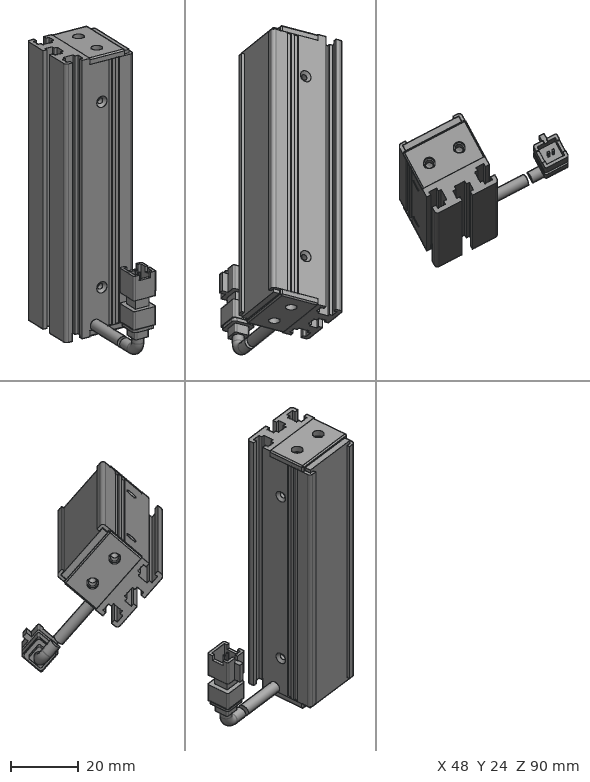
import cadquery as cq
import math


LENGTH = 90.0
WIDTH = 21.0
DEPTH = 24.0
CORNER_RADIUS = 1.1

SLOT_MOUTH = 3.4
SLOT_LIP = 1.35
SLOT_WIDE = 5.5
SLOT_WIDE_END = 3.9
SLOT_DEPTH = 4.9
SIDE_SLOT_Y = 4.1

CAP_SEAT = 2.0
CAP_BACK_Y = 8.6
CAP_FRONT_Y = 21.15

LIP_THICKNESS = 0.9
LIP_WIDTH = 2.5
CHANNEL_WALL = 1.1

SIDE_WALL = 2.7
CAVITY_FLOOR_Y = 12.5

GROOVE_WIDTH = 1.35
GROOVE_DEPTH = 0.5
GROOVE_YS = (15.9, 18.4)

MOUNT_HOLE_Y = 12.8
MOUNT_HOLE_END_DISTANCE = 15.0
MOUNT_HOLE_DIAMETER = 1.8
COUNTERSINK_DIAMETER = 3.6
COUNTERSINK_ANGLE = 90.0

CAP_CHAMFER = 0.45
SCREW_SPACING = 10.0
SCREW_Y = 14.6
CLEARANCE_DIAMETER = 3.4
TAPPED_DIAMETER = 2.5
TAPPED_DEPTH = 4.5
DRILL_TIP_ANGLE = 120.0

DIFFUSER_INSET = 0.9

CABLE_DIAMETER = 3.6
CABLE_Y = 10.5
CABLE_Z = 3.4
BEND_RADIUS = 3.1
BREAK_X = 25.2
BREAK_GAP = 1.3
BREAK_RADIUS = 5.4

OVERALL_X = 48.0
BLOCK_SIZE = 7.8
BLOCK_FILLET = 0.5
STEM_SIZE = 4.9
STEM_FILLET = 0.5
COLLAR_SIZE = 7.4
COLLAR_FILLET = 1.2
STEM_Z = 8.5
COLLAR_Z = 11.4
LOWER_BLOCK_Z = 12.5
NECK_Z = 18.45
UPPER_BLOCK_Z = 22.0
CONNECTOR_TOP_Z = 29.9
SOCKET_SIZE = 5.9
SOCKET_DEPTH = 6.3
NOTCH_WIDTH = 3.9
NOTCH_DEPTH = 1.7
TAB_WIDTH = 1.6
TAB_LENGTH = 2.0
TAB_SLOT_WIDTH = 1.2
PIN_SIZE = 0.6
PIN_SPACING = 1.5
PIN_RECESS = 0.7

HALF_WIDTH = WIDTH / 2
CAVITY_WIDTH = WIDTH - 2 * SIDE_WALL
CHANNEL_WIDTH = WIDTH - 2 * CHANNEL_WALL
CHANNEL_FRONT_Y = DEPTH - LIP_THICKNESS
SCREW_XS = (-SCREW_SPACING / 2, SCREW_SPACING / 2)
CONNECTOR_X = OVERALL_X - HALF_WIDTH - BLOCK_SIZE / 2


def box(x_range, y_range, z_range):
    """Box between the given pairs of X, Y and Z limits."""
    size = [high - low for low, high in (x_range, y_range, z_range)]
    corner = (x_range[0], y_range[0], z_range[0])
    return cq.Workplane("XY").box(*size, centered=False).translate(corner)


def centred_box(width, y_range, z_range):
    """Box that is centred on x = 0."""
    return box((-width / 2, width / 2), y_range, z_range)


def cone_height(base_radius, angle):
    """Height of a full cone with the given included angle."""
    return base_radius / math.tan(math.radians(angle / 2))


def t_slot():
    """Stepped slot that opens at y = 0 and goes into +Y over the whole length."""
    steps = (
        (SLOT_MOUTH, 0, SLOT_DEPTH),
        (SLOT_WIDE, SLOT_LIP, SLOT_WIDE_END),
    )
    slot = cq.Workplane("XY")
    for width, start, end in steps:
        slot = slot.union(centred_box(width, (start, end), (0, LENGTH)))
    return slot


def mount_hole():
    """Countersunk hole from the -X side to the middle plane."""
    rim = COUNTERSINK_DIAMETER / 2
    radius = MOUNT_HOLE_DIAMETER / 2
    half_section = [
        (0, 0),
        (0, rim),
        (cone_height(rim - radius, COUNTERSINK_ANGLE), radius),
        (HALF_WIDTH, radius),
        (HALF_WIDTH, 0),
    ]
    hole = cq.Workplane("XY").polyline(half_section).close().revolve(360, (0, 0, 0), (1, 0, 0))
    return hole.translate((-HALF_WIDTH, MOUNT_HOLE_Y, 0))


def side_cuts():
    """Everything that is cut into the -X side: T-slot, grooves and mounting holes."""
    slot = t_slot().rotate((0, 0, 0), (0, 0, 1), -90)
    cuts = slot.translate((-HALF_WIDTH, SIDE_SLOT_Y, 0))
    for y in GROOVE_YS:
        groove_x = (-HALF_WIDTH, -HALF_WIDTH + GROOVE_DEPTH)
        groove_y = (y - GROOVE_WIDTH / 2, y + GROOVE_WIDTH / 2)
        cuts = cuts.union(box(groove_x, groove_y, (0, LENGTH)))
    for z in (MOUNT_HOLE_END_DISTANCE, LENGTH - MOUNT_HOLE_END_DISTANCE):
        cuts = cuts.union(mount_hole().translate((0, 0, z)))
    return cuts


def make_housing():
    housing = centred_box(WIDTH, (0, DEPTH), (0, LENGTH)).edges("|Z").fillet(CORNER_RADIUS)

    full_length = (0, LENGTH)
    housing = housing.cut(centred_box(CAVITY_WIDTH, (CAVITY_FLOOR_Y, CAP_FRONT_Y), full_length))
    housing = housing.cut(centred_box(CHANNEL_WIDTH, (CAP_FRONT_Y, CHANNEL_FRONT_Y), full_length))
    housing = housing.cut(centred_box(WIDTH - 2 * LIP_WIDTH, (CHANNEL_FRONT_Y, DEPTH), full_length))

    for z_range in ((0, CAP_SEAT), (LENGTH - CAP_SEAT, LENGTH)):
        housing = housing.cut(centred_box(WIDTH, (CAP_BACK_Y, DEPTH), z_range))

    left_cuts = side_cuts()
    return housing.cut(t_slot()).cut(left_cuts).cut(left_cuts.mirror("YZ"))


def make_top_cap():
    """Plate on the cap seat, with chamfered outer edges and two clearance holes."""
    cap = centred_box(WIDTH, (CAP_BACK_Y, CAP_FRONT_Y), (LENGTH - CAP_SEAT, LENGTH))
    cap = cap.edges("(>Y and |Z) or (>Z and (<X or >X or >Y))").chamfer(CAP_CHAMFER)
    for x in SCREW_XS:
        hole = cq.Workplane("XY").circle(CLEARANCE_DIAMETER / 2).extrude(LENGTH)
        cap = cap.cut(hole.translate((x, SCREW_Y, 0)))
    return cap


def make_bottom_cap():
    return make_top_cap().mirror("XY").translate((0, 0, LENGTH))


def make_diffuser():
    z_range = (DIFFUSER_INSET, LENGTH - DIFFUSER_INSET)
    return centred_box(CHANNEL_WIDTH, (CAP_FRONT_Y, CHANNEL_FRONT_Y), z_range)


def tapped_hole():
    """Blind hole with a conical bottom, drilled down from the top end of the light block."""
    radius = TAPPED_DIAMETER / 2
    half_section = [
        (0, 0),
        (radius, 0),
        (radius, -TAPPED_DEPTH),
        (0, -TAPPED_DEPTH - cone_height(radius, DRILL_TIP_ANGLE)),
    ]
    hole = cq.Workplane("XZ").polyline(half_section).close().revolve(360, (0, 0, 0), (0, 1, 0))
    return hole.translate((0, SCREW_Y, LENGTH - CAP_SEAT))


def make_light_block():
    """Block that fills the cavity between the caps and takes their screws."""
    z_range = (CAP_SEAT, LENGTH - CAP_SEAT)
    block = centred_box(CAVITY_WIDTH, (CAVITY_FLOOR_Y, CAP_FRONT_Y), z_range)
    for x in SCREW_XS:
        top_hole = tapped_hole().translate((x, 0, 0))
        bottom_hole = top_hole.mirror("XY").translate((0, 0, LENGTH))
        block = block.cut(top_hole).cut(bottom_hole)
    return block


def break_cylinder(edge_x):
    """Cylinder along Y whose -X edge lies at edge_x, for the rounded break of the cable."""
    cylinder = cq.Workplane("XZ").circle(BREAK_RADIUS).extrude(CABLE_DIAMETER, both=True)
    return cylinder.translate((edge_x + BREAK_RADIUS, CABLE_Y, CABLE_Z))


def cable_run(start_x, length):
    run = cq.Workplane("YZ").circle(CABLE_DIAMETER / 2).extrude(length)
    return run.translate((start_x, CABLE_Y, CABLE_Z))


def make_housing_cable():
    """Straight cable from the housing to the break, where its end is hollow."""
    run = cable_run(HALF_WIDTH, BREAK_X + BREAK_RADIUS - HALF_WIDTH)
    return run.cut(break_cylinder(BREAK_X))


def make_connector_cable():
    """Cable from the break, where its end is rounded, through a bend up to the connector."""
    nose_x = BREAK_X + BREAK_GAP
    straight_x = nose_x + CABLE_DIAMETER / 2
    bend_x = CONNECTOR_X - BEND_RADIUS
    bend_z = CABLE_Z + BEND_RADIUS
    section = cq.Workplane("YZ").circle(CABLE_DIAMETER / 2)

    nose = cable_run(nose_x, straight_x - nose_x).intersect(break_cylinder(nose_x))
    straight = cable_run(straight_x, bend_x - straight_x)
    bend = section.revolve(90, (0.9, BEND_RADIUS, 0), (-0.9, BEND_RADIUS, 0))
    bend = bend.translate((bend_x, CABLE_Y, CABLE_Z))
    rise = cq.Workplane("XY").circle(CABLE_DIAMETER / 2).extrude(STEM_Z - bend_z)
    rise = rise.translate((CONNECTOR_X, CABLE_Y, bend_z))
    return nose.union(straight).union(bend).union(rise)


def square_post(size, z_range, fillet=0.0):
    """Square block around x = y = 0, with its upright edges rounded if a fillet is given."""
    half = (-size / 2, size / 2)
    post = box(half, half, z_range)
    return post.edges("|Z").fillet(fillet) if fillet else post


def make_connector():
    top = CONNECTOR_TOP_Z
    half_block = BLOCK_SIZE / 2
    half_socket = SOCKET_SIZE / 2
    notch_z = top - NOTCH_DEPTH

    connector = square_post(STEM_SIZE, (STEM_Z, COLLAR_Z), STEM_FILLET)
    connector = connector.union(square_post(COLLAR_SIZE, (COLLAR_Z, LOWER_BLOCK_Z), COLLAR_FILLET))
    connector = connector.union(square_post(BLOCK_SIZE, (LOWER_BLOCK_Z, NECK_Z), BLOCK_FILLET))
    connector = connector.union(square_post(STEM_SIZE, (NECK_Z, UPPER_BLOCK_Z)))
    connector = connector.union(square_post(BLOCK_SIZE, (UPPER_BLOCK_Z, top), BLOCK_FILLET))

    tab_y = (half_socket, half_block + TAB_LENGTH)
    connector = connector.union(centred_box(TAB_WIDTH, tab_y, (UPPER_BLOCK_Z, notch_z)))

    connector = connector.cut(square_post(SOCKET_SIZE, (top - SOCKET_DEPTH, top)))
    notch_y = (-NOTCH_WIDTH / 2, NOTCH_WIDTH / 2)
    connector = connector.cut(centred_box(BLOCK_SIZE, notch_y, (notch_z, top)))
    connector = connector.cut(centred_box(TAB_SLOT_WIDTH, (0, half_block), (notch_z, top)))

    pin = square_post(PIN_SIZE, (top - SOCKET_DEPTH, top - PIN_RECESS))
    for x in (-PIN_SPACING / 2, PIN_SPACING / 2):
        connector = connector.union(pin.translate((x, 0, 0)))
    return connector.translate((CONNECTOR_X, CABLE_Y, 0))


housing = make_housing()
top_cap = make_top_cap()
bottom_cap = make_bottom_cap()
diffuser = make_diffuser()
light_block = make_light_block()
housing_cable = make_housing_cable()
connector_cable = make_connector_cable()
connector = make_connector()

result = cq.Compound.makeCompound([
    housing.val(),
    top_cap.val(),
    bottom_cap.val(),
    diffuser.val(),
    light_block.val(),
    housing_cable.val(),
    connector_cable.val(),
    connector.val(),
])